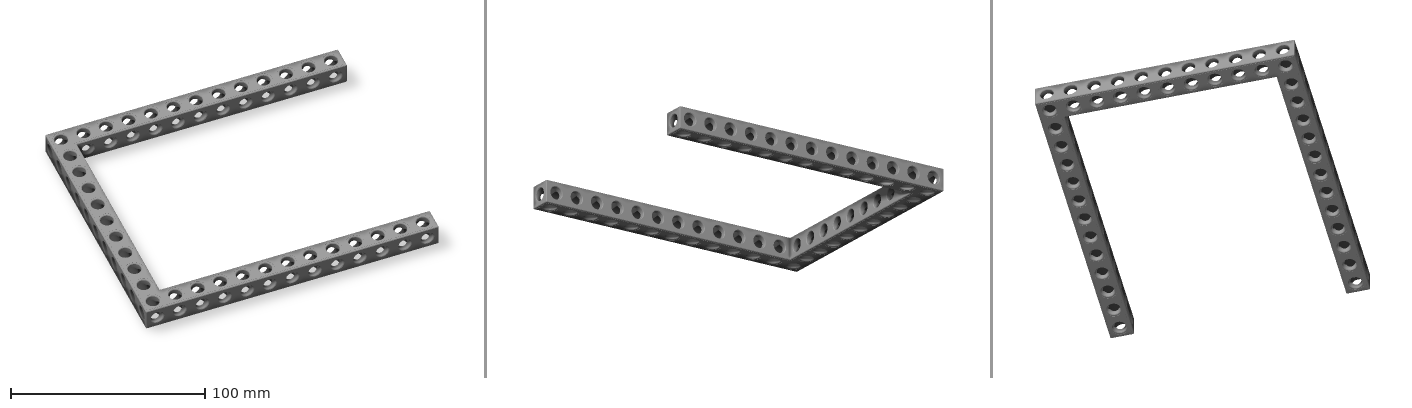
import cadquery as cq

length_y = 162.5
cells_along_x = 11
cells_along_y = 13
hole_diameter = 7.0
edge_chamfer = 0.31
pad_inset = 1.05
pad_height = 0.1
pad_hole_diameter = 9.3

cell = length_y / cells_along_y
width_x = cells_along_x * cell
half_x = width_x / 2
half_y = length_y / 2
half_body = cell / 2 - pad_height

last_column = cells_along_x - 1
base_cells = [(column, 0) for column in range(cells_along_x)]
arm_cells = [(column, row) for column in (0, last_column) for row in range(1, cells_along_y)]
beam_cells = base_cells + arm_cells

UP = cq.Vector(0, 0, 1)
DOWN = cq.Vector(0, 0, -1)
RIGHT = cq.Vector(1, 0, 0)
BACK = cq.Vector(0, 1, 0)


def cell_center(column, row):
    return cq.Vector((column + 0.5) * cell - half_x, (row + 0.5) * cell - half_y, 0)


def u_prism(inset, half_height):
    """U-shaped prism centred on Z = 0, with its outline moved inwards by the inset."""
    outer_x = half_x - inset
    inner_x = half_x - cell + inset
    front_y = -half_y + inset
    base_back_y = -half_y + cell - inset
    arm_end_y = half_y - inset
    outline = [
        (-outer_x, front_y),
        (outer_x, front_y),
        (outer_x, arm_end_y),
        (inner_x, arm_end_y),
        (inner_x, base_back_y),
        (-inner_x, base_back_y),
        (-inner_x, arm_end_y),
        (-outer_x, arm_end_y),
    ]
    return cq.Workplane("XY").polyline(outline).close().extrude(half_height, both=True)


def chamfered_body():
    """Beam body with all edges chamfered except the two inner corners of the U."""
    inner_corners = cq.selectors.BoxSelector(
        (-half_x + cell / 2, -half_y + cell / 2, -cell / 4),
        (half_x - cell / 2, -half_y + 3 * cell / 2, cell / 4),
    )
    body = u_prism(0, half_body)
    vertical = cq.selectors.SubtractSelector(cq.selectors.ParallelDirSelector(UP), inner_corners)
    level = cq.selectors.InverseSelector(cq.selectors.ParallelDirSelector(UP))
    return body.edges(cq.selectors.SumSelector(vertical, level)).chamfer(edge_chamfer)


def bore(center, axis, diameter):
    """Cylinder along the axis, exactly one cell long."""
    start = center - axis * (cell / 2)
    return cq.Solid.makeCylinder(diameter / 2, cell, start, axis)


def mouth(center, outward, distance):
    """Cone that chamfers a hole where it leaves the body at the given distance from the cell centre."""
    radius = hole_diameter / 2
    start = center + outward * (distance - edge_chamfer)
    return cq.Solid.makeCone(radius, radius + edge_chamfer, edge_chamfer, start, outward)


def cell_hole_tools(column, row):
    """Three crossing bores of a cell and the chamfers at its exposed hole mouths."""
    center = cell_center(column, row)
    tools = [bore(center, axis, hole_diameter) for axis in (RIGHT, BACK, UP)]
    tools += [mouth(center, outward, half_body) for outward in (UP, DOWN)]
    for step_x, step_y in ((1, 0), (-1, 0), (0, 1), (0, -1)):
        if (column + step_x, row + step_y) not in beam_cells:
            tools.append(mouth(center, cq.Vector(step_x, step_y, 0), cell / 2))
    return tools


body = chamfered_body()
hole_tools = [tool for column, row in beam_cells for tool in cell_hole_tools(column, row)]
body = cq.Workplane(body.val().cut(*hole_tools))

pads = u_prism(pad_inset, cell / 2).cut(u_prism(0, half_body))
relief_tools = [bore(cell_center(column, row), UP, pad_hole_diameter) for column, row in beam_cells]
pads = cq.Workplane(cq.Compound.makeCompound([pad.cut(*relief_tools) for pad in pads.solids().vals()]))

result = body.union(pads)